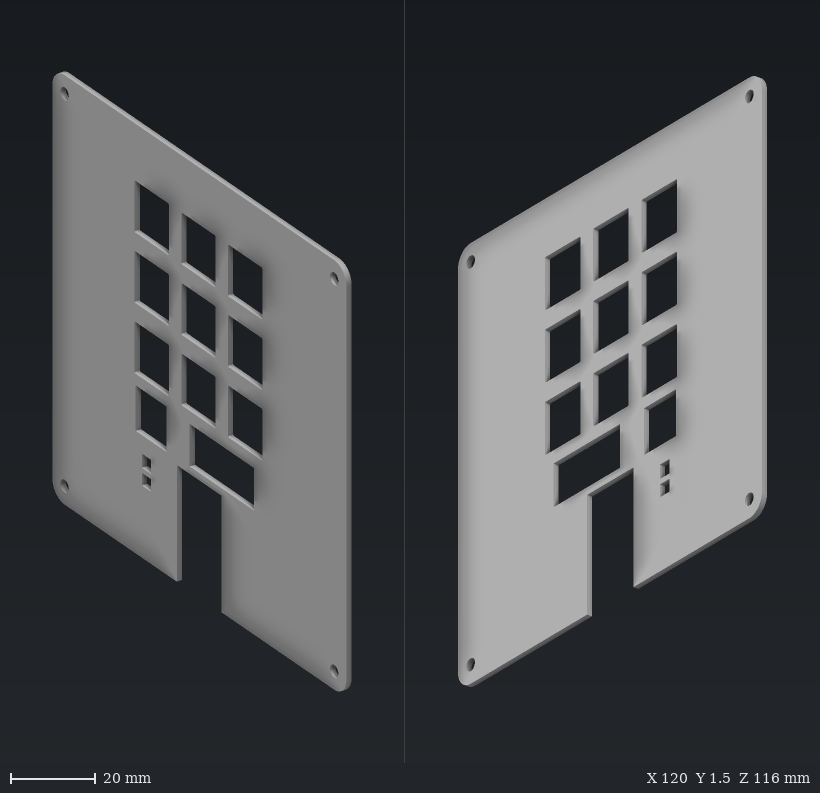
import cadquery as cq

plate_width = 120.0
plate_height = 116.0
plate_thickness = 1.5
corner_radius = 5.0

mount_hole_diameter = 3.4
mount_hole_inset = corner_radius

key_size = 14.0
key_pitch = 19.05
key_corner_radius = 0.4
key_columns = 3
key_rows = 3
key_grid_x = -0.4
key_grid_z = 16.55

square_window = (12.6, 12.3, -19.7, -18.75)
display_window = (26.3, 11.5, 9.15, -18.75)
upper_small_window = (3.8, 3.8, -21.6, -31.8)
lower_small_window = (3.8, 3.4, -21.6, -36.8)
windows = [square_window, display_window, upper_small_window, lower_small_window]

notch_width = 18.2
notch_height = 31.5
notch_x = -0.1


def block(width, height, x, z):
    """Box through the plate thickness, centred at (x, z)."""
    return cq.Workplane("XY").box(width, plate_thickness, height).translate((x, 0, z))


def make_plate():
    plate = block(plate_width, plate_height, 0, 0)
    return plate.edges("|Y").fillet(corner_radius)


def cut_mounting_holes(plate):
    spacing_x = plate_width - 2 * mount_hole_inset
    spacing_z = plate_height - 2 * mount_hole_inset
    holes = (
        cq.Workplane("XZ", origin=(0, plate_thickness / 2, 0))
        .rect(spacing_x, spacing_z, forConstruction=True)
        .vertices()
        .circle(mount_hole_diameter / 2)
        .extrude(plate_thickness)
    )
    return plate.cut(holes)


def cut_keys(plate):
    key = block(key_size, key_size, 0, 0).edges("|Y").fillet(key_corner_radius)
    for column in range(key_columns):
        x = key_grid_x + (column - (key_columns - 1) / 2) * key_pitch
        for row in range(key_rows):
            z = key_grid_z + (row - (key_rows - 1) / 2) * key_pitch
            plate = plate.cut(key.translate((x, 0, z)))
    return plate


def cut_windows(plate):
    for width, height, x, z in windows:
        plate = plate.cut(block(width, height, x, z))
    return plate


def cut_notch(plate):
    notch_z = (notch_height - plate_height) / 2
    return plate.cut(block(notch_width, notch_height, notch_x, notch_z))


result = make_plate()
result = cut_mounting_holes(result)
result = cut_keys(result)
result = cut_windows(result)
result = cut_notch(result)